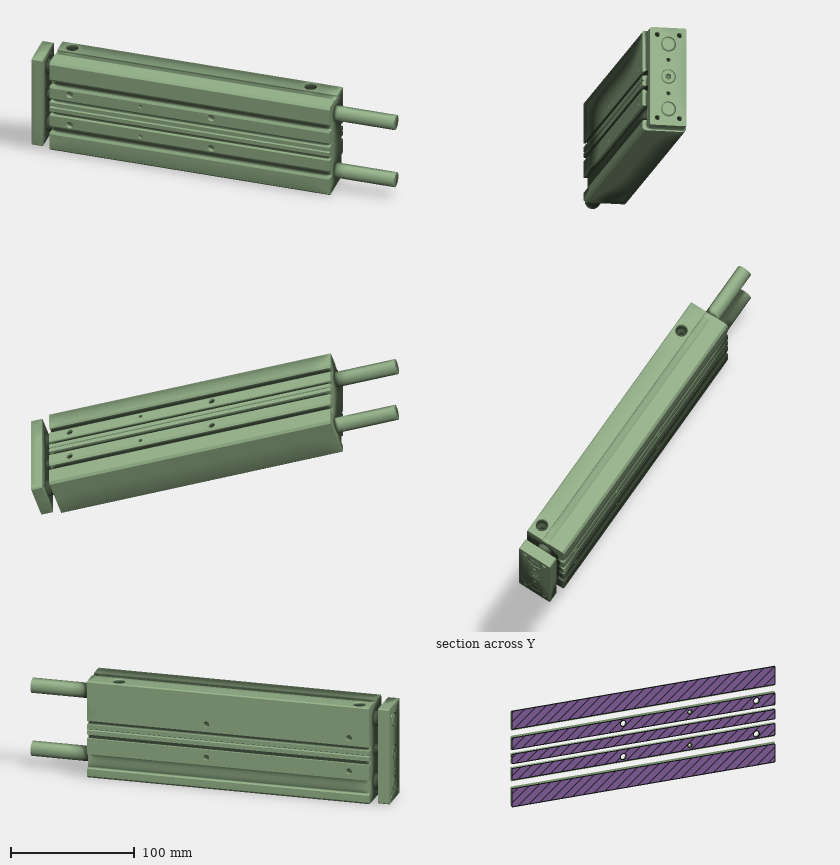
import cadquery as cq
import math

TOTAL_LENGTH = 304.0

HOUSING_START = 16.0
HOUSING_LENGTH = 237.0
HOUSING_WIDTH = 36.0
HOUSING_HEIGHT = 83.0
CORNER_CHAMFER = 1.8
PORT_CORNER_CHAMFER = 1.0
HALF_WIDTH = HOUSING_WIDTH / 2
HALF_HEIGHT = HOUSING_HEIGHT / 2

TOP_GROOVE_WIDTH = 6.5
TOP_GROOVE_DEPTH = 1.2

T_SLOT_OFFSET = 22.0
T_SLOT_THROAT = 4.5
T_SLOT_CHAMFER_WIDTH = 1.8
T_SLOT_CHAMFER_DEPTH = 1.2
T_SLOT_LIP = 1.5
T_SLOT_INNER_WIDTH = 7.0
T_SLOT_DEPTH = 6.5

RIB_HALF_WIDTH = 4.3
NARROW_SLOT_WIDTH = 3.3
NARROW_SLOT_DEPTH = 5.2
NARROW_SLOT_CHAMFER = 0.5
NARROW_SLOT_LIP = 1.8
NARROW_SLOT_UNDERCUT = 1.0
V_GROOVE_WIDTH = 1.5
V_GROOVE_DEPTH = 1.5

WIDE_SLOT_TOP = -21.0
WIDE_SLOT_WIDTH = 12.0
WIDE_SLOT_DEPTH = 3.5
WIDE_SLOT_CHAMFER = 1.0

CROSS_HOLE_DIAMETER = 5.0
CROSS_HOLE_CHAMFER = 0.5
CROSS_HOLE_FIRST_X = 33.0
CROSS_HOLE_PITCH = 119.8
CROSS_HOLE_Z = 14.3
LOCATING_HOLE_DIAMETER = 3.3
LOCATING_HOLE_DEPTH = 6.0

PORT_DIAMETER = 9.7
PORT_CHAMFER = 0.5
PORT_DEPTH = 7.5
PORT_PASSAGE_DIAMETER = 3.0
PORT_PASSAGE_DEPTH = 12.2
PORT_Y = 10.5
PORT_FIRST_X = 26.5
PORT_LAST_X = 228.3

PLATE_THICKNESS = 9.5
PLATE_WIDTH = 30.0
PLATE_HEIGHT = 81.5
PLATE_CHAMFER = 1.0
CORNER_HOLE_DIAMETER = 4.0
CORNER_HOLE_CHAMFER = 0.3
CORNER_HOLE_Y = 9.0
CORNER_HOLE_Z = 34.7
PIN_HOLE_DIAMETER = 3.3
PIN_HOLE_Z = 14.0
PIN_HOLE_DEPTH = 5.0
DRILL_POINT_ANGLE = 118.0

GUIDE_DIAMETER = 12.5
GUIDE_OFFSET = 27.0
GUIDE_CHAMFER = 1.5

PISTON_DIAMETER = 10.0
NECK_DIAMETER = 8.2
SHAFT_CHAMFER = (PISTON_DIAMETER - NECK_DIAMETER) / 2
SHAFT_PROTRUSION = 0.5
SHAFT_START = HOUSING_START - SHAFT_PROTRUSION
PISTON_END_X = 60.8
HEAD_DIAMETER = 12.2
HEAD_DEPTH = 5.5
HEAD_CHAMFER = 1.2
SHANK_DIAMETER = 6.0
SOCKET_ACROSS_FLATS = 4.5
SOCKET_DEPTH = 2.7


def rod_along_x(diameter, start_x, end_x, z=0, y=0):
    """Solid cylinder parallel to X between two stations."""
    return cq.Workplane("YZ", origin=(start_x, y, z)).circle(diameter / 2).extrude(end_x - start_x)


def housing_prism(points):
    """Prism running the full housing length, from a (Y, Z) outline."""
    return cq.Workplane("YZ", origin=(HOUSING_START, 0, 0)).polyline(points).close().extrude(HOUSING_LENGTH)


def drilled_hole(diameter, depth, x, y, z, direction):
    """Blind hole with a conical drill point beyond its straight depth."""
    radius = diameter / 2
    point = radius / math.tan(math.radians(DRILL_POINT_ANGLE / 2))
    mouth = cq.Vector(x, y, z)
    axis = cq.Vector(*direction)
    straight = cq.Solid.makeCylinder(radius, depth, mouth, axis)
    tip = cq.Solid.makeCone(radius, 0, point, mouth + axis * depth, axis)
    return cq.Workplane(straight.fuse(tip))


def mouth_chamfer(diameter, size, mouth, direction):
    """Cone cutter that puts a 45 degree chamfer on the mouth of a hole."""
    radius = diameter / 2
    return cq.Workplane(
        cq.Solid.makeCone(radius + size, radius, size, cq.Vector(*mouth), cq.Vector(*direction))
    )


def t_slot(z):
    """T-slot cutter opening at the -Y face."""
    face = -HALF_WIDTH
    throat = T_SLOT_THROAT / 2
    mouth = throat + T_SLOT_CHAMFER_WIDTH
    inner = T_SLOT_INNER_WIDTH / 2
    lower_half = [
        (face, -mouth),
        (face + T_SLOT_CHAMFER_DEPTH, -throat),
        (face + T_SLOT_LIP, -throat),
        (face + T_SLOT_LIP, -inner),
        (face + T_SLOT_DEPTH, -inner),
    ]
    upper_half = [(y, -dz) for y, dz in reversed(lower_half)]
    return housing_prism([(y, z + dz) for y, dz in lower_half + upper_half])


def narrow_slot(y_side, z_side):
    """Slot cutter beside the centre rib: undercut away from the rib, mouth chamfered on the -Y face only."""
    inner = RIB_HALF_WIDTH
    outer = RIB_HALF_WIDTH + NARROW_SLOT_WIDTH
    chamfer = NARROW_SLOT_CHAMFER
    lip_y = HALF_WIDTH - NARROW_SLOT_LIP
    floor_y = HALF_WIDTH - NARROW_SLOT_DEPTH
    undercut = NARROW_SLOT_UNDERCUT
    outline = [
        (HALF_WIDTH, inner),
        (floor_y, inner),
        (floor_y, outer + undercut),
        (lip_y - undercut, outer + undercut),
        (lip_y, outer),
    ]
    if y_side < 0:
        outline += [(HALF_WIDTH - chamfer, outer), (HALF_WIDTH, outer + chamfer)]
    else:
        outline.append((HALF_WIDTH, outer))
    return housing_prism([(y_side * y, z_side * z) for y, z in outline])


def v_groove(y_side):
    """V-groove cutter along the middle of the centre rib."""
    half = V_GROOVE_WIDTH / 2
    outline = [(HALF_WIDTH, -half), (HALF_WIDTH - V_GROOVE_DEPTH, 0), (HALF_WIDTH, half)]
    return housing_prism([(y_side * y, z) for y, z in outline])


def wide_slot():
    """Wide slot cutter in the +Y face, chamfered on its lower edge."""
    floor_y = HALF_WIDTH - WIDE_SLOT_DEPTH
    bottom = WIDE_SLOT_TOP - WIDE_SLOT_WIDTH
    return housing_prism([
        (HALF_WIDTH, WIDE_SLOT_TOP),
        (floor_y, WIDE_SLOT_TOP),
        (floor_y, bottom),
        (HALF_WIDTH - WIDE_SLOT_CHAMFER, bottom),
        (HALF_WIDTH, bottom - WIDE_SLOT_CHAMFER),
    ])


def top_groove():
    """Shallow groove cutter along the top face."""
    half = TOP_GROOVE_WIDTH / 2
    floor_z = HALF_HEIGHT - TOP_GROOVE_DEPTH
    return housing_prism([(-half, HALF_HEIGHT), (-half, floor_z), (half, floor_z), (half, HALF_HEIGHT)])


def port(x):
    """Air port cutter: drilled counterbore with a narrow passage below."""
    bore = drilled_hole(PORT_DIAMETER, PORT_DEPTH, x, PORT_Y, HALF_HEIGHT, (0, 0, -1))
    passage = (
        cq.Workplane("XY", origin=(x, PORT_Y, HALF_HEIGHT))
        .circle(PORT_PASSAGE_DIAMETER / 2)
        .extrude(-PORT_PASSAGE_DEPTH)
    )
    chamfer = mouth_chamfer(PORT_DIAMETER, PORT_CHAMFER, (x, PORT_Y, HALF_HEIGHT), (0, 0, -1))
    return bore.union(passage).union(chamfer)


def housing_blank():
    """Extruded block; the +Y top edge has a smaller chamfer than the others."""
    c = CORNER_CHAMFER
    p = PORT_CORNER_CHAMFER
    return housing_prism([
        (-HALF_WIDTH, -HALF_HEIGHT + c),
        (-HALF_WIDTH + c, -HALF_HEIGHT),
        (HALF_WIDTH - c, -HALF_HEIGHT),
        (HALF_WIDTH, -HALF_HEIGHT + c),
        (HALF_WIDTH, HALF_HEIGHT - p),
        (HALF_WIDTH - p, HALF_HEIGHT),
        (-HALF_WIDTH + c, HALF_HEIGHT),
        (-HALF_WIDTH, HALF_HEIGHT - c),
    ])


def make_housing():
    housing = housing_blank().cut(top_groove()).cut(wide_slot())
    for side in (-1, 1):
        housing = housing.cut(t_slot(side * T_SLOT_OFFSET))
        housing = housing.cut(v_groove(side))
        for z_side in (-1, 1):
            housing = housing.cut(narrow_slot(side, z_side))

    for z in (-CROSS_HOLE_Z, CROSS_HOLE_Z):
        for x in (CROSS_HOLE_FIRST_X, CROSS_HOLE_FIRST_X + CROSS_HOLE_PITCH):
            cross_hole = cq.Workplane("XZ", origin=(x, 0, z)).circle(CROSS_HOLE_DIAMETER / 2)
            housing = housing.cut(cross_hole.extrude(HALF_WIDTH, both=True))
            mouth = (x, -HALF_WIDTH, z)
            housing = housing.cut(
                mouth_chamfer(CROSS_HOLE_DIAMETER, CROSS_HOLE_CHAMFER, mouth, (0, 1, 0))
            )
        middle_x = CROSS_HOLE_FIRST_X + CROSS_HOLE_PITCH / 2
        housing = housing.cut(
            drilled_hole(LOCATING_HOLE_DIAMETER, LOCATING_HOLE_DEPTH, middle_x, -HALF_WIDTH, z, (0, 1, 0))
        )

    for x in (PORT_FIRST_X, PORT_LAST_X):
        housing = housing.cut(port(x))

    for z in (-GUIDE_OFFSET, GUIDE_OFFSET):
        housing = housing.cut(rod_along_x(GUIDE_DIAMETER, 0, TOTAL_LENGTH, z))
    return housing.cut(rod_along_x(PISTON_DIAMETER, HOUSING_START, PISTON_END_X))


def make_plate():
    plate = (
        cq.Workplane("YZ")
        .rect(PLATE_WIDTH, PLATE_HEIGHT)
        .extrude(PLATE_THICKNESS)
        .edges("|X")
        .chamfer(PLATE_CHAMFER)
    )
    for side in (-1, 1):
        plate = plate.cut(rod_along_x(GUIDE_DIAMETER, 0, PLATE_THICKNESS, side * GUIDE_OFFSET))
        plate = plate.cut(
            drilled_hole(PIN_HOLE_DIAMETER, PIN_HOLE_DEPTH, 0, 0, side * PIN_HOLE_Z, (1, 0, 0))
        )
        for y in (-CORNER_HOLE_Y, CORNER_HOLE_Y):
            z = side * CORNER_HOLE_Z
            plate = plate.cut(rod_along_x(CORNER_HOLE_DIAMETER, 0, PLATE_THICKNESS, z, y))
            plate = plate.cut(
                mouth_chamfer(CORNER_HOLE_DIAMETER, CORNER_HOLE_CHAMFER, (0, y, z), (1, 0, 0))
            )
    plate = plate.cut(rod_along_x(HEAD_DIAMETER, 0, HEAD_DEPTH))
    return plate.cut(rod_along_x(SHANK_DIAMETER, HEAD_DEPTH, PLATE_THICKNESS))


def make_guide_rod(z):
    return rod_along_x(GUIDE_DIAMETER, 0, TOTAL_LENGTH, z).faces("<X").chamfer(GUIDE_CHAMFER)


def make_piston_rod():
    head = rod_along_x(HEAD_DIAMETER, 0, HEAD_DEPTH).faces("<X").chamfer(HEAD_CHAMFER)
    shank = rod_along_x(SHANK_DIAMETER, HEAD_DEPTH, PLATE_THICKNESS)
    neck = rod_along_x(NECK_DIAMETER, PLATE_THICKNESS, SHAFT_START)
    shaft = (
        rod_along_x(PISTON_DIAMETER, SHAFT_START, PISTON_END_X)
        .faces("<X")
        .chamfer(SHAFT_CHAMFER)
    )
    socket = cq.Workplane("YZ").polygon(6, SOCKET_ACROSS_FLATS, circumscribed=True).extrude(SOCKET_DEPTH)
    return head.union(shank).union(neck).union(shaft).cut(socket)


housing = make_housing()
plate = make_plate()
guide_rods = [make_guide_rod(z) for z in (-GUIDE_OFFSET, GUIDE_OFFSET)]
piston_rod = make_piston_rod()

result = cq.Compound.makeCompound([
    housing.val(),
    plate.val(),
    *[rod.val() for rod in guide_rods],
    piston_rod.val(),
])